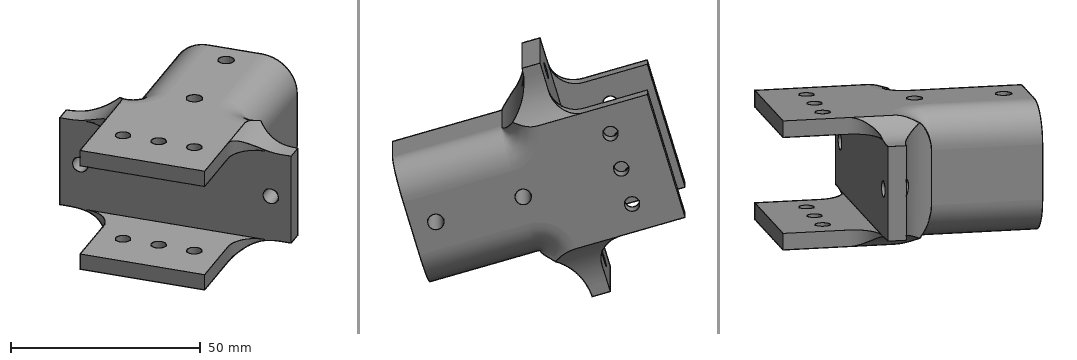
import cadquery as cq
import math

LENGTH = 70.0
BODY = 35.0
FLANGE_WIDTH = 65.0
FLANGE_HEIGHT = 25.6
CLEVIS_GAP = 26.0
FLANGE_THICKNESS = 5.0
BLOCK_LENGTH = 30.0
CORNER_RADIUS = 10.0
FRONT_FILLET = 7.5
BACK_RADIUS = 17.5
TIP_FLAT = 3.0

MOUNT_HOLE = 4.3
PIN_HOLE = 4.0
PIN_SPACING = 10.0
PIN_SETBACK = 12.3
FLANGE_HOLE_SPACING = 53.55
BLOCK_HOLE_SETBACKS = (6.7, 30.7)

HALF_BODY = BODY / 2
HALF_FLANGE = FLANGE_WIDTH / 2
FRONT_Y = -LENGTH / 2
BACK_Y = LENGTH / 2
SHOULDER_Y = BACK_Y - BLOCK_LENGTH
FLANGE_BACK_Y = SHOULDER_Y - CORNER_RADIUS
FLANGE_FRONT_Y = FLANGE_BACK_Y - FLANGE_THICKNESS
DIAGONAL = math.sqrt(0.5)


def tangent_arc_midpoint(tangent_x, tangent_z, end_x, end_z):
    """Middle of an arc that leaves its first point parallel to X and reaches the second."""
    run = tangent_x - end_x
    rise = end_z - tangent_z
    radius = (run**2 + rise**2) / (2 * rise)
    half_angle = math.asin(run / radius) / 2
    return tangent_x - radius * math.sin(half_angle), tangent_z + radius * (1 - math.cos(half_angle))


def plan_blank():
    """Block, clevis and one wing, cut to the plan outline at full height; mirrored in X."""
    fillet_x = HALF_BODY + FRONT_FILLET
    fillet_y = FLANGE_FRONT_Y - FRONT_FILLET
    fillet_mid = (fillet_x - FRONT_FILLET * DIAGONAL, fillet_y + FRONT_FILLET * DIAGONAL)
    half = (
        cq.Workplane("XY")
        .workplane(offset=-HALF_BODY)
        .moveTo(0, FRONT_Y)
        .lineTo(HALF_BODY, FRONT_Y)
        .lineTo(HALF_BODY, fillet_y)
        .threePointArc(fillet_mid, (fillet_x, FLANGE_FRONT_Y))
        .lineTo(HALF_FLANGE, FLANGE_FRONT_Y)
        .lineTo(HALF_FLANGE, FLANGE_BACK_Y)
        .radiusArc((HALF_BODY, SHOULDER_Y), BACK_RADIUS)
        .lineTo(HALF_BODY, BACK_Y)
        .lineTo(0, BACK_Y)
        .close()
        .extrude(BODY)
    )
    return half.union(half.mirror("YZ"))


def height_envelope():
    """Outline seen along Y: full height at the body, curving down to the wing tips."""
    flat_x = HALF_FLANGE - TIP_FLAT
    wing_z = FLANGE_HEIGHT / 2
    curve_mid = tangent_arc_midpoint(flat_x, wing_z, HALF_BODY, HALF_BODY)
    quarter = (
        cq.Workplane("XZ")
        .lineTo(HALF_FLANGE, 0)
        .lineTo(HALF_FLANGE, wing_z)
        .lineTo(flat_x, wing_z)
        .threePointArc(curve_mid, (HALF_BODY, HALF_BODY))
        .lineTo(0, HALF_BODY)
        .close()
        .extrude(LENGTH / 2, both=True)
    )
    upper = quarter.union(quarter.mirror("YZ"))
    return upper.union(upper.mirror("XY"))


def corner_cutter():
    """Waste outside one rounded block edge, swept round at the shoulder to end the rounding."""
    start_z = HALF_BODY - CORNER_RADIUS
    arc_offset = CORNER_RADIUS * (1 - DIAGONAL)
    arc_mid_z = HALF_BODY - arc_offset
    waste = (
        cq.Sketch()
        .segment((0, start_z), (0, HALF_BODY))
        .segment((0, HALF_BODY), (-CORNER_RADIUS, HALF_BODY))
        .arc((-CORNER_RADIUS, HALF_BODY), (-arc_offset, arc_mid_z), (0, start_z))
        .assemble()
    )
    shoulder = cq.Workplane("XZ", origin=(HALF_BODY, SHOULDER_Y, 0))
    straight = shoulder.placeSketch(waste).extrude(-BLOCK_LENGTH)
    swept_end = shoulder.placeSketch(waste).revolve(360, (0, 0, 0), (0, 1, 0))
    return straight.union(swept_end)


def clevis_gap():
    gap_length = FLANGE_FRONT_Y - FRONT_Y
    return (
        cq.Workplane("XY")
        .box(FLANGE_WIDTH, gap_length, CLEVIS_GAP)
        .translate((0, FRONT_Y + gap_length / 2, 0))
    )


def vertical_holes(points, diameter):
    return cq.Workplane("XY").pushPoints(points).circle(diameter / 2).extrude(HALF_BODY, both=True)


def flange_holes():
    half_spacing = FLANGE_HOLE_SPACING / 2
    return (
        cq.Workplane("XZ")
        .pushPoints([(-half_spacing, 0), (half_spacing, 0)])
        .circle(MOUNT_HOLE / 2)
        .extrude(LENGTH / 2, both=True)
    )


result = plan_blank().intersect(height_envelope())

right_top = corner_cutter()
left_top = right_top.mirror("YZ")
for cutter in (right_top, left_top):
    result = result.cut(cutter).cut(cutter.mirror("XY"))

result = result.cut(clevis_gap())

pin_points = [(i * PIN_SPACING, FRONT_Y + PIN_SETBACK) for i in (-1, 0, 1)]
block_points = [(0, BACK_Y - setback) for setback in BLOCK_HOLE_SETBACKS]
result = result.cut(vertical_holes(pin_points, PIN_HOLE))
result = result.cut(vertical_holes(block_points, MOUNT_HOLE))
result = result.cut(flange_holes())